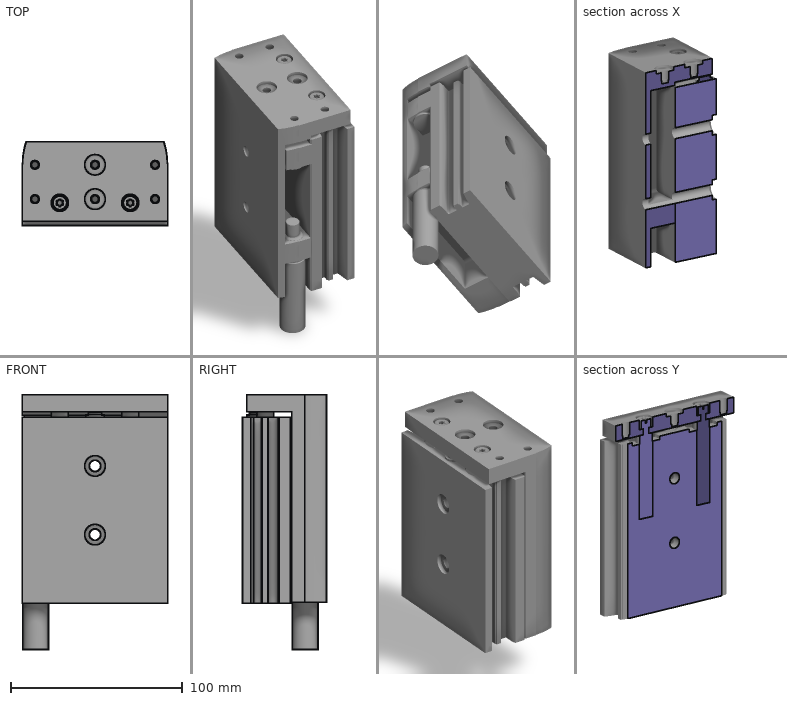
import cadquery as cq
import math

WIDTH = 85.0
HALF_WIDTH = WIDTH / 2
DEPTH = 49.0
TOTAL_HEIGHT = 148.5
TOP_Z = 121.5

HOUSING_HEIGHT = 108.5
HOUSING_REAR_Y = 28.6
REAR_EDGE_CHAMFER = 0.8

FLANGE_EDGE_Y = 4.7
FLANGE_ROOT_Y = 6.5
CHANNEL_FLOOR_X = 33.8
SHOULDER_EDGE_Y = 21.4
SHOULDER_ROOT_Y = 20.8
SHOULDER_X = 38.2
CHANNEL_CORNER_FILLET = 0.6
RIB_X = 37.8
RIB_FRONT_Y = 11.1
RIB_REAR_Y = 15.1
RIB_STEP_WIDTH = 0.5
RIB_STEP_DEPTH = 1.0

MOUNT_HOLE_Z = (40.0, 80.0)
MOUNT_HOLE_DIAMETER = 6.5
MOUNT_BORE_DIAMETER = 12.0
MOUNT_BORE_DEPTH = 2.6

ROD_RECESS_DIAMETER = 20.0
ROD_RECESS_DEPTH = 2.0

STOP_BLOCK_BOTTOM_Z = 91.2
STOP_BLOCK_TOP_Z = 105.2
STOP_BLOCK_REAR_Y = 44.0
STOP_BLOCK_WIDTH = 16.5
STOP_PAD_DIAMETER = 13.8
STOP_PAD_HEIGHT = 1.5

PLATE_FRONT_Y = 2.5
PLATE_THICKNESS = 10.0
LEG_THICKNESS = 4.0
LEG_FRONT_Y = DEPTH - LEG_THICKNESS
SLIDE_BOTTOM_Z = 0.5
SIDE_CURVE_START_Y = 36.3
SIDE_STEP = 0.3
SIDE_CURVE_INSET = 2.1
POCKET_TOP_Z = 109.5
POCKET_WALL_X = 20.0
POCKET_FILLET = 2.0
CARRIER_BOTTOM_Z = 24.3
CARRIER_TOP_Z = 38.2

THREAD_DIAMETER = 5.0
THREAD_DEPTH = 7.5
PILOT_DIAMETER = 4.13
PILOT_DEPTH = 9.0
THREAD_X = (-35.0, 0.0, 35.0)
THREAD_Y = (15.5, 35.5)
CENTERING_DIAMETER = 12.0
CENTERING_DEPTH = 2.1

ROD_X = 20.5
ROD_Y = 13.35
ROD_DIAMETER = 10.0
ROD_BOTTOM_Z = 60.0
SCREW_SHANK_DIAMETER = 5.5
SCREW_HEAD_DIAMETER = 8.57
SCREW_HEAD_BOTTOM_Z = 115.5
SCREW_HEAD_TOP_Z = 120.7
SCREW_HEAD_CHAMFER = 0.3
SCREW_BORE_DIAMETER = 10.0
SOCKET_CORE_DIAMETER = 3.2
SOCKET_LOBE_DIAMETER = 1.0
SOCKET_LOBE_RADIUS = 1.7
SOCKET_LOBES = 6
SOCKET_DEPTH = 2.0

ABSORBER_X = -34.6
ABSORBER_Y = 36.5
ABSORBER_DIAMETER = 15.1
ABSORBER_BOTTOM_Z = TOP_Z - TOTAL_HEIGHT
ABSORBER_SHOULDER_Z = 22.9
ABSORBER_SHOULDER_CHAMFER = 0.4
ABSORBER_NECK_DIAMETER = 14.0
ABSORBER_THREAD_DIAMETER = 12.0
COLLAR_BASE_DIAMETER = 12.5
COLLAR_HEIGHT = 0.8
COLLAR_CHAMFER = 0.7
BUFFER_DIAMETER = 8.0
BUFFER_TOP_Z = 47.9
BUFFER_CHAMFER = 0.3

PLUG_Y = 8.0
PLUG_FLANGE_DIAMETER = 11.0
PLUG_FLANGE_HEIGHT = 1.2
PLUG_DIAMETER = 7.9
PLUG_HEIGHT = 2.9
PLUG_CHAMFER = 0.4

PLATE_BOTTOM_Z = TOP_Z - PLATE_THICKNESS


def box(x_range, y_range, z_range):
    """Axis-aligned box between the given limits."""
    size = [high - low for low, high in (x_range, y_range, z_range)]
    return cq.Workplane("XY").box(*size, centered=False).translate((x_range[0], y_range[0], z_range[0]))


def cylinder(x, y, diameter, z_low, z_high):
    """Upright cylinder between two heights."""
    return cq.Workplane("XY", origin=(x, y, z_low)).circle(diameter / 2).extrude(z_high - z_low)


def slide_outline(z_low, z_high):
    """Prism with the slide's outline from above: straight sides, then a small step and an inward curve."""
    curve_length = DEPTH - SIDE_CURVE_START_Y
    radius = (curve_length**2 + SIDE_CURVE_INSET**2) / (2 * SIDE_CURVE_INSET)
    curve_half_width = HALF_WIDTH - SIDE_STEP
    rear_half_width = curve_half_width - SIDE_CURVE_INSET
    return (
        cq.Workplane("XY", origin=(0, 0, z_low))
        .moveTo(-HALF_WIDTH, PLATE_FRONT_Y)
        .lineTo(HALF_WIDTH, PLATE_FRONT_Y)
        .lineTo(HALF_WIDTH, SIDE_CURVE_START_Y)
        .lineTo(curve_half_width, SIDE_CURVE_START_Y)
        .radiusArc((rear_half_width, DEPTH), -radius)
        .lineTo(-rear_half_width, DEPTH)
        .radiusArc((-curve_half_width, SIDE_CURVE_START_Y), -radius)
        .lineTo(-HALF_WIDTH, SIDE_CURVE_START_Y)
        .close()
        .extrude(z_high - z_low)
    )


def side_channel():
    """Material removed from the housing's -X side, leaving the rib standing."""
    sag = SHOULDER_EDGE_Y - SHOULDER_ROOT_Y
    run = HALF_WIDTH - SHOULDER_X
    radius = (run**2 + sag**2) / (2 * sag)
    corner_y = SHOULDER_ROOT_Y - CHANNEL_CORNER_FILLET
    channel = (
        cq.Workplane("XY")
        .moveTo(-HALF_WIDTH, FLANGE_EDGE_Y)
        .lineTo(-CHANNEL_FLOOR_X, FLANGE_ROOT_Y)
        .lineTo(-CHANNEL_FLOOR_X, corner_y)
        .radiusArc((-CHANNEL_FLOOR_X - CHANNEL_CORNER_FILLET, SHOULDER_ROOT_Y), -CHANNEL_CORNER_FILLET)
        .lineTo(-SHOULDER_X, SHOULDER_ROOT_Y)
        .radiusArc((-HALF_WIDTH, SHOULDER_EDGE_Y), radius)
        .close()
        .extrude(HOUSING_HEIGHT)
    )
    base_y = (RIB_FRONT_Y, RIB_REAR_Y)
    crest_y = (RIB_FRONT_Y + RIB_STEP_WIDTH, RIB_REAR_Y - RIB_STEP_WIDTH)
    rib_base = box((-RIB_X + RIB_STEP_DEPTH, -CHANNEL_FLOOR_X), base_y, (0, HOUSING_HEIGHT))
    rib_crest = box((-RIB_X, -CHANNEL_FLOOR_X), crest_y, (0, HOUSING_HEIGHT))
    return channel.cut(rib_base).cut(rib_crest)


def mount_holes():
    """Through holes along Y with shallow bores on the front face."""
    holes = cq.Workplane("XY")
    for z in MOUNT_HOLE_Z:
        front = cq.Workplane("XZ", origin=(0, 0, z))
        holes = holes.add(front.circle(MOUNT_HOLE_DIAMETER / 2).extrude(-DEPTH))
        holes = holes.add(front.circle(MOUNT_BORE_DIAMETER / 2).extrude(-MOUNT_BORE_DEPTH))
    return holes.combine()


def make_housing():
    body = box((-HALF_WIDTH, HALF_WIDTH), (0, HOUSING_REAR_Y), (0, HOUSING_HEIGHT))
    body = body.edges("|Z and >Y").chamfer(REAR_EDGE_CHAMFER)
    channel = side_channel()
    body = body.cut(channel).cut(channel.mirror("YZ"))

    stop_block = slide_outline(STOP_BLOCK_BOTTOM_Z, STOP_BLOCK_TOP_Z).intersect(
        box(
            (-HALF_WIDTH, -HALF_WIDTH + STOP_BLOCK_WIDTH),
            (HOUSING_REAR_Y - REAR_EDGE_CHAMFER, STOP_BLOCK_REAR_Y),
            (STOP_BLOCK_BOTTOM_Z, STOP_BLOCK_TOP_Z),
        )
    )
    pad_bottom_z = STOP_BLOCK_BOTTOM_Z - STOP_PAD_HEIGHT
    stop_pad = cylinder(ABSORBER_X, ABSORBER_Y, STOP_PAD_DIAMETER, pad_bottom_z, STOP_BLOCK_BOTTOM_Z)
    body = body.union(stop_block).union(stop_pad).cut(mount_holes())

    recess_z = HOUSING_HEIGHT - ROD_RECESS_DEPTH
    for x in (-ROD_X, ROD_X):
        body = body.cut(cylinder(x, ROD_Y, ROD_DIAMETER, ROD_BOTTOM_Z, HOUSING_HEIGHT))
        body = body.cut(cylinder(x, ROD_Y, ROD_RECESS_DIAMETER, recess_z, HOUSING_HEIGHT))
    return body


def slide_pocket(z_low, z_high, rounded_edges):
    """Pocket open to -X between the housing and the leg, with edges of its end wall rounded."""
    pocket = box((-HALF_WIDTH, POCKET_WALL_X), (HOUSING_REAR_Y, LEG_FRONT_Y), (z_low, z_high))
    return pocket.edges(rounded_edges).fillet(POCKET_FILLET)


def threaded_hole(x, y):
    """Tapped hole in the plate's top, with its pilot hole reaching deeper."""
    thread = cylinder(x, y, THREAD_DIAMETER, TOP_Z - THREAD_DEPTH, TOP_Z)
    return thread.union(cylinder(x, y, PILOT_DIAMETER, TOP_Z - PILOT_DEPTH, TOP_Z))


def make_slide():
    body = slide_outline(SLIDE_BOTTOM_Z, TOP_Z)
    body = body.cut(box((-WIDTH, WIDTH), (0, HOUSING_REAR_Y), (0, PLATE_BOTTOM_Z)))

    upper_pocket = slide_pocket(CARRIER_TOP_Z, POCKET_TOP_Z, "|Y and >X")
    lower_pocket = slide_pocket(SLIDE_BOTTOM_Z, CARRIER_BOTTOM_Z, "|Y and >X and >Z")
    body = body.cut(upper_pocket).cut(lower_pocket)

    for x in THREAD_X:
        for y in THREAD_Y:
            body = body.cut(threaded_hole(x, y))
    for y in THREAD_Y:
        body = body.cut(cylinder(0, y, CENTERING_DIAMETER, TOP_Z - CENTERING_DEPTH, TOP_Z))

    for x in (-ROD_X, ROD_X):
        body = body.cut(cylinder(x, ROD_Y, SCREW_SHANK_DIAMETER, PLATE_BOTTOM_Z, TOP_Z))
        body = body.cut(cylinder(x, ROD_Y, SCREW_BORE_DIAMETER, SCREW_HEAD_BOTTOM_Z, TOP_Z))

    absorber_hole = cylinder(
        ABSORBER_X, ABSORBER_Y, ABSORBER_THREAD_DIAMETER, CARRIER_BOTTOM_Z, CARRIER_TOP_Z
    )
    return body.cut(absorber_hole).cut(mount_holes())


def make_rod(x):
    """Piston rod with the socket-head screw that clamps the slide plate to it."""
    head = cylinder(x, ROD_Y, SCREW_HEAD_DIAMETER, SCREW_HEAD_BOTTOM_Z, SCREW_HEAD_TOP_Z)
    head = head.faces(">Z").chamfer(SCREW_HEAD_CHAMFER)
    socket_z = SCREW_HEAD_TOP_Z - SOCKET_DEPTH
    head = head.cut(cylinder(x, ROD_Y, SOCKET_CORE_DIAMETER, socket_z, SCREW_HEAD_TOP_Z))
    for lobe in range(SOCKET_LOBES):
        angle = math.radians(90 + lobe * 360 / SOCKET_LOBES)
        lobe_x = x + SOCKET_LOBE_RADIUS * math.cos(angle)
        lobe_y = ROD_Y + SOCKET_LOBE_RADIUS * math.sin(angle)
        head = head.cut(cylinder(lobe_x, lobe_y, SOCKET_LOBE_DIAMETER, socket_z, SCREW_HEAD_TOP_Z))
    shank = cylinder(x, ROD_Y, SCREW_SHANK_DIAMETER, PLATE_BOTTOM_Z, SCREW_HEAD_BOTTOM_Z)
    rod = cylinder(x, ROD_Y, ROD_DIAMETER, ROD_BOTTOM_Z, PLATE_BOTTOM_Z)
    return rod.union(shank).union(head)


def make_absorber():
    def section(diameter, z_low, z_high):
        return cylinder(ABSORBER_X, ABSORBER_Y, diameter, z_low, z_high)

    body = section(ABSORBER_DIAMETER, ABSORBER_BOTTOM_Z, ABSORBER_SHOULDER_Z)
    collar = section(COLLAR_BASE_DIAMETER, CARRIER_TOP_Z, CARRIER_TOP_Z + COLLAR_HEIGHT)
    buffer = section(BUFFER_DIAMETER, CARRIER_TOP_Z, BUFFER_TOP_Z)
    return (
        body.faces(">Z").chamfer(ABSORBER_SHOULDER_CHAMFER)
        .union(section(ABSORBER_NECK_DIAMETER, ABSORBER_SHOULDER_Z, CARRIER_BOTTOM_Z))
        .union(section(ABSORBER_THREAD_DIAMETER, CARRIER_BOTTOM_Z, CARRIER_TOP_Z))
        .union(collar.faces(">Z").chamfer(COLLAR_CHAMFER))
        .union(buffer.faces(">Z").chamfer(BUFFER_CHAMFER))
    )


def make_plug():
    flange = cylinder(0, PLUG_Y, PLUG_FLANGE_DIAMETER, HOUSING_HEIGHT, HOUSING_HEIGHT + PLUG_FLANGE_HEIGHT)
    head = cylinder(0, PLUG_Y, PLUG_DIAMETER, HOUSING_HEIGHT, HOUSING_HEIGHT + PLUG_HEIGHT)
    return flange.union(head.faces(">Z").chamfer(PLUG_CHAMFER))


housing = make_housing()
slide = make_slide()
rods = [make_rod(x) for x in (-ROD_X, ROD_X)]
absorber = make_absorber()
plug = make_plug()

result = cq.Compound.makeCompound(
    [housing.val(), slide.val(), *[rod.val() for rod in rods], absorber.val(), plug.val()]
)